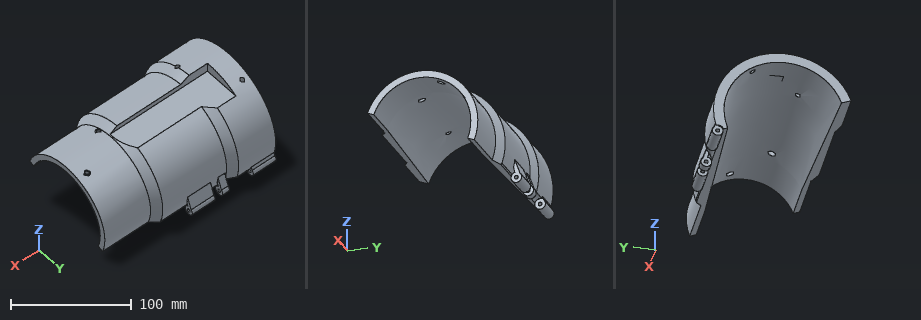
import cadquery as cq
import math

LENGTH = 178.0
BIG_RADIUS = 60.0
MIDDLE_RADIUS = 55.25
SMALL_RADIUS = 49.5
BIG_END_X = 40.7
MIDDLE_START_X = 49.8
MIDDLE_END_X = 119.6
SMALL_START_X = 128.0

BORE_BIG_RADIUS = 51.1
BORE_SMALL_RADIUS = 43.4
BORE_TAPER_END_X = 139.6

SPLIT_ANGLE = 20.0

PAD_HEIGHT = 50.1
PAD_START_X = 20.6
PAD_FRONT_Y = -3.0

HINGE_RADIUS = 4.65
HINGE_CLEARANCE_RADIUS = 5.0
PIN_DIAMETER = 3.15
HINGE_Y = BIG_RADIUS * math.cos(math.radians(SPLIT_ANGLE))
HINGE_Z = -BIG_RADIUS * math.sin(math.radians(SPLIT_ANGLE))
KNUCKLES = [(0.5, 25.0), (51.5, 7.5), (67.2, 25.0)]
GUSSET_OFFSET_Y = 3.1
GUSSET_SLOPE_ANGLE = 90.0 - SPLIT_ANGLE
GUSSET_RISE = 13.5
GUSSET_DEPTH = 3.0

HOLE_DIAMETER = 4.0
HOLE_POSITIONS = [(7.2, 25.7), (40.0, -18.6), (130.2, -13.8), (167.4, 14.4)]
HEAD_DIAMETER = 6.0
HEAD_SEAT_Z = 46.5
HEAD_HOLES = HOLE_POSITIONS[2:]


def x_cylinder(radius, start_x, length, y=0.0, z=0.0):
    return cq.Workplane("YZ", origin=(start_x, y, z)).circle(radius).extrude(length)


def revolve_about_x(profile):
    points = [(0, 0)] + profile + [(LENGTH, 0)]
    return cq.Workplane("XY").polyline(points).close().revolve(360, (0, 0, 0), (1, 0, 0))


def make_shell():
    outside = revolve_about_x([
        (0, BIG_RADIUS),
        (BIG_END_X, BIG_RADIUS),
        (MIDDLE_START_X, MIDDLE_RADIUS),
        (MIDDLE_END_X, MIDDLE_RADIUS),
        (SMALL_START_X, SMALL_RADIUS),
        (LENGTH, SMALL_RADIUS),
    ])
    bore = revolve_about_x([
        (0, BORE_BIG_RADIUS),
        (BORE_TAPER_END_X, BORE_SMALL_RADIUS),
        (LENGTH, BORE_SMALL_RADIUS),
    ])
    side = 4 * BIG_RADIUS
    side_above_split = (
        cq.Workplane("XY")
        .box(LENGTH, side, side, centered=(False, True, False))
        .rotate((0, 0, 0), (1, 0, 0), -SPLIT_ANGLE)
    )
    return outside.cut(bore).intersect(side_above_split)


def make_pad_cutter():
    length = SMALL_START_X - PAD_START_X
    return (
        cq.Workplane("XY")
        .box(length, BIG_RADIUS, BIG_RADIUS, centered=False)
        .translate((PAD_START_X, PAD_FRONT_Y, PAD_HEIGHT))
    )


def make_gusset(start_x, length):
    foot_y = HINGE_Y + GUSSET_OFFSET_Y
    foot_z = HINGE_Z + math.sqrt(HINGE_RADIUS ** 2 - GUSSET_OFFSET_Y ** 2)
    top_y = foot_y - GUSSET_RISE / math.tan(math.radians(GUSSET_SLOPE_ANGLE))
    top_z = foot_z + GUSSET_RISE
    return (
        cq.Workplane("YZ", origin=(start_x, 0, 0))
        .moveTo(HINGE_Y, HINGE_Z)
        .lineTo(foot_y, foot_z)
        .lineTo(top_y, top_z)
        .lineTo(top_y - GUSSET_DEPTH, top_z)
        .close()
        .extrude(length)
    )


def make_knuckle(start_x, length):
    barrel = x_cylinder(HINGE_RADIUS, start_x, length, HINGE_Y, HINGE_Z)
    return barrel.union(make_gusset(start_x, length))


def vertical_drill(diameter, height, x, y):
    return cq.Workplane("XY", origin=(x, y, 0)).circle(diameter / 2).extrude(height)


result = make_shell().cut(make_pad_cutter())
result = result.cut(x_cylinder(HINGE_CLEARANCE_RADIUS, 0, LENGTH, HINGE_Y, HINGE_Z))
for knuckle_start, knuckle_length in KNUCKLES:
    result = result.union(make_knuckle(knuckle_start, knuckle_length))
result = result.cut(x_cylinder(PIN_DIAMETER / 2, 0, LENGTH, HINGE_Y, HINGE_Z))
for hole_x, hole_y in HOLE_POSITIONS:
    result = result.cut(vertical_drill(HOLE_DIAMETER, BIG_RADIUS, hole_x, hole_y))
for hole_x, hole_y in HEAD_HOLES:
    result = result.cut(vertical_drill(HEAD_DIAMETER, HEAD_SEAT_Z, hole_x, hole_y))